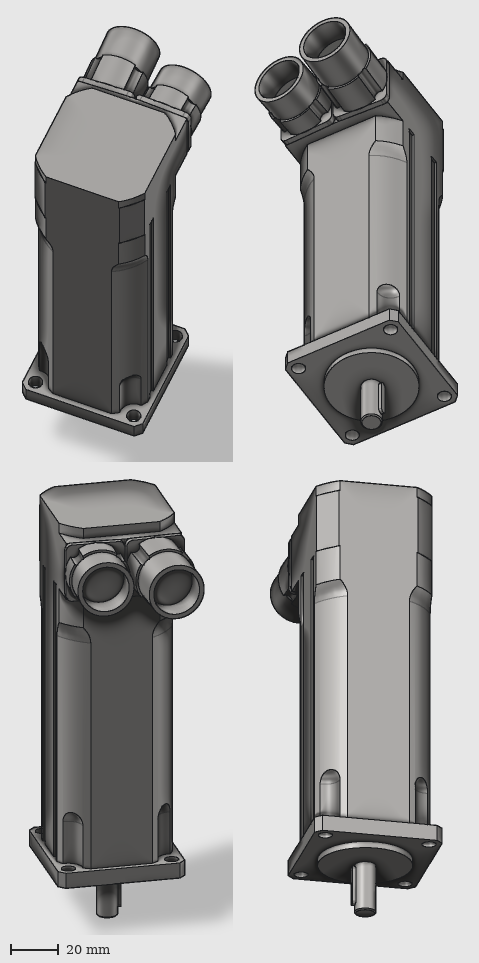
import cadquery as cq
import math


flange_side = 55.0
flange_thickness = 6.8
flange_chamfer = 2.8
flange_hole_diameter = 6.0
flange_hole_offset = 22.4
pilot_diameter = 40.0
pilot_height = 2.8
shaft_diameter = 9.0
shaft_length = 24.5
shaft_chamfer = 0.5

key_width = 2.8
key_length = 17.8
key_top_gap = 0.7
key_height_from_axis = 5.7

overall_height = 185
top_z = overall_height - shaft_length
body_side = 50
upper_corner_diameter = 60.0
lower_corner_diameter = 56.6
neck_top_z = 115.8
neck_height = 7.2
screw_relief_diameter = 12.4
screw_relief_height = 18.9
slot_width = 3.9
slot_offset = 9.2
slot_depth = 1.0

cap_height = 4.5
box_height = 25.2
box_top_z = top_z - cap_height
box_bottom_z = box_top_z - box_height
box_middle_z = (box_top_z + box_bottom_z) / 2
box_chamfer = 8.0
ridge_y = 30.0
splay_angle = 2.2

connector_offset = 13
plate_side = 25.3
plate_thickness = 2.5
plate_corner_radius = 2.8
base_diameter = 26.0
barrel_diameter = 24
bore_diameter = 20.0
base_groove_diameter = 5.0
base_groove_axis_radius = 13.5
long_base_height = 17.4
long_total_height = 34.0
short_base_height = 11.5
short_total_height = 23.9
bore_depth = 11.1


def corner_signs():
    return [(x_sign, y_sign) for x_sign in (-1, 1) for y_sign in (-1, 1)]


def make_flange():
    flange = (
        cq.Workplane("XY")
        .rect(flange_side, flange_side)
        .extrude(flange_thickness)
        .edges("|Z")
        .chamfer(flange_chamfer)
    )
    hole_spacing = 2 * flange_hole_offset
    holes = (
        cq.Workplane("XY")
        .rect(hole_spacing, hole_spacing, forConstruction=True)
        .vertices()
        .circle(flange_hole_diameter / 2)
        .extrude(flange_thickness)
    )
    pilot = cq.Workplane("XY").circle(pilot_diameter / 2).extrude(-pilot_height)
    return flange.cut(holes).union(pilot)


def make_shaft():
    shaft = (
        cq.Workplane("XY")
        .circle(shaft_diameter / 2)
        .extrude(-shaft_length)
        .faces("<Z")
        .chamfer(shaft_chamfer)
    )
    key_middle_z = -pilot_height - key_top_gap - key_length / 2
    key = (
        cq.Workplane("YZ")
        .center(0, key_middle_z)
        .slot2D(key_length, key_width, 90)
        .extrude(-key_height_from_axis)
    )
    return shaft.union(key)


def make_body_core():
    """Square column whose corners are turned down to a smaller diameter below a curved neck."""
    upper_radius = upper_corner_diameter / 2
    lower_radius = lower_corner_diameter / 2
    neck_bottom_z = neck_top_z - neck_height
    step = upper_radius - lower_radius
    neck_radius = (neck_height**2 + step**2) / (2 * step)
    half_angle = math.asin(neck_height / neck_radius) / 2
    arc_middle = (
        lower_radius + neck_radius * (1 - math.cos(half_angle)),
        neck_bottom_z + neck_radius * math.sin(half_angle),
    )
    turned = (
        cq.Workplane("XZ")
        .moveTo(0, flange_thickness)
        .lineTo(lower_radius, flange_thickness)
        .lineTo(lower_radius, neck_bottom_z)
        .threePointArc(arc_middle, (upper_radius, neck_top_z))
        .lineTo(upper_radius, top_z)
        .lineTo(0, top_z)
        .close()
        .revolve(360, (0, 0, 0), (0, 1, 0))
    )
    column = cq.Workplane("XY").rect(body_side, body_side).extrude(top_z)
    return column.intersect(turned)


def make_connector_box():
    """Box with a ridged +Y side whose two faces carry the splayed connectors."""
    half_side = body_side / 2
    side_y = ridge_y - half_side * math.tan(math.radians(splay_angle))
    return (
        cq.Workplane("XY", origin=(0, 0, box_bottom_z))
        .polyline(
            [
                (-half_side, side_y),
                (-half_side, -half_side + box_chamfer),
                (-half_side + box_chamfer, -half_side),
                (half_side - box_chamfer, -half_side),
                (half_side, -half_side + box_chamfer),
                (half_side, side_y),
                (0, ridge_y),
            ]
        )
        .close()
        .extrude(box_height)
    )


def cut_box_corners(core):
    """Clear the -Y corners of the core at box level, so that the flat box chamfers show."""
    half_side = body_side / 2
    for x_sign in (-1, 1):
        corner = (
            cq.Workplane("XY", origin=(0, 0, box_bottom_z))
            .moveTo(x_sign * half_side, -half_side)
            .lineTo(x_sign * half_side, -half_side + box_chamfer)
            .lineTo(x_sign * (half_side - box_chamfer), -half_side)
            .close()
            .extrude(box_height)
        )
        core = core.cut(corner)
    return core


def make_screw_relief(x, y):
    """Ball-ended groove that clears the head of a flange screw."""
    radius = screw_relief_diameter / 2
    groove = (
        cq.Workplane("XY", origin=(x, y, flange_thickness))
        .circle(radius)
        .extrude(screw_relief_height)
    )
    end_z = flange_thickness + screw_relief_height
    ball = cq.Workplane("XY", origin=(x, y, end_z)).sphere(radius)
    return groove.union(ball)


def make_side_slots():
    """Cutters for two shallow slots on each X side, from the flange up to the connector box."""
    slot_length = box_bottom_z - flange_thickness
    slot_middle_z = (box_bottom_z + flange_thickness) / 2
    centres = [(x * body_side / 2, y * slot_offset, slot_middle_z) for x, y in corner_signs()]
    return (
        cq.Workplane("XY")
        .pushPoints(centres)
        .box(2 * slot_depth, slot_width, slot_length)
    )


def make_motor():
    body = cut_box_corners(make_body_core())
    for x_sign, y_sign in corner_signs():
        body = body.cut(make_screw_relief(x_sign * flange_hole_offset, y_sign * flange_hole_offset))
    body = body.cut(make_side_slots())
    return body.union(make_connector_box()).union(make_flange()).union(make_shaft())


def make_connector(x_sign, base_height, total_height):
    """Connector on one ridge face; heights are measured from that face."""
    angle = math.radians(splay_angle)
    face = cq.Plane(
        origin=(0, ridge_y, box_middle_z),
        xDir=(math.cos(angle), -x_sign * math.sin(angle), 0),
        normal=(x_sign * math.sin(angle), math.cos(angle), 0),
    )
    axis_offset = x_sign * connector_offset
    mount = cq.Workplane(face).center(axis_offset, 0)
    plate = (
        mount.rect(plate_side, plate_side)
        .extrude(plate_thickness)
        .edges(cq.selectors.ParallelDirSelector(face.zDir))
        .fillet(plate_corner_radius)
    )
    base = (
        mount.workplane(offset=plate_thickness)
        .circle(base_diameter / 2)
        .extrude(base_height - plate_thickness)
    )
    grooves = (
        mount.workplane(offset=plate_thickness)
        .polarArray(base_groove_axis_radius, 45, 360, 4)
        .circle(base_groove_diameter / 2)
        .extrude(base_height - plate_thickness)
    )
    barrel = (
        mount.workplane(offset=base_height)
        .circle(barrel_diameter / 2)
        .extrude(total_height - base_height)
    )
    bore = (
        mount.workplane(offset=total_height)
        .circle(bore_diameter / 2)
        .extrude(-bore_depth)
    )
    return plate.union(base.cut(grooves)).union(barrel).cut(bore)


motor = make_motor()
long_connector = make_connector(-1, long_base_height, long_total_height)
short_connector = make_connector(1, short_base_height, short_total_height)
result = cq.Compound.makeCompound(
    [
        *motor.solids().vals(),
        *long_connector.solids().vals(),
        *short_connector.solids().vals(),
    ]
)